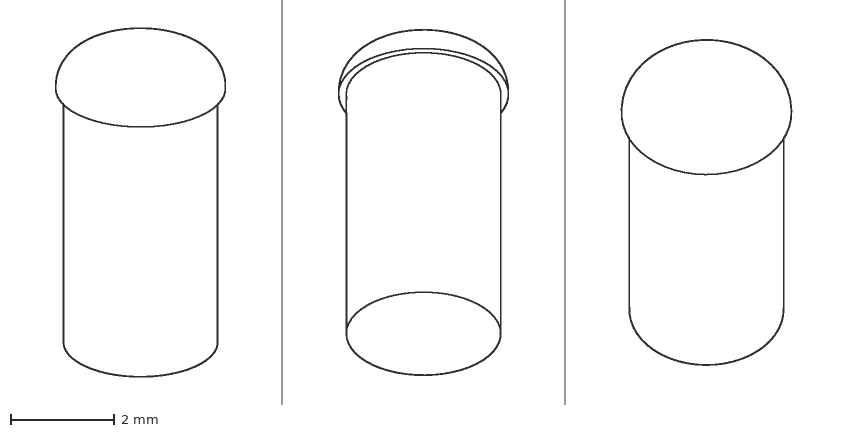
import cadquery as cq

total_height = 6.26
shaft_diameter = 3.0
cap_diameter = 3.3
cap_height = 0.75
cap_rounding = 0.7

shaft_height = total_height - cap_height


def make_shaft():
    """Plain cylinder standing on the XY plane."""
    return cq.Workplane("XY").circle(shaft_diameter / 2).extrude(shaft_height)


def make_cap():
    """Wider disc resting on the shaft, with a rounded top edge."""
    disc = (
        cq.Workplane("XY")
        .workplane(offset=shaft_height)
        .circle(cap_diameter / 2)
        .extrude(cap_height)
    )
    return disc.faces(">Z").edges().fillet(cap_rounding)


shaft = make_shaft()
cap = make_cap()

result = cq.Compound.makeCompound([shaft.val(), cap.val()])